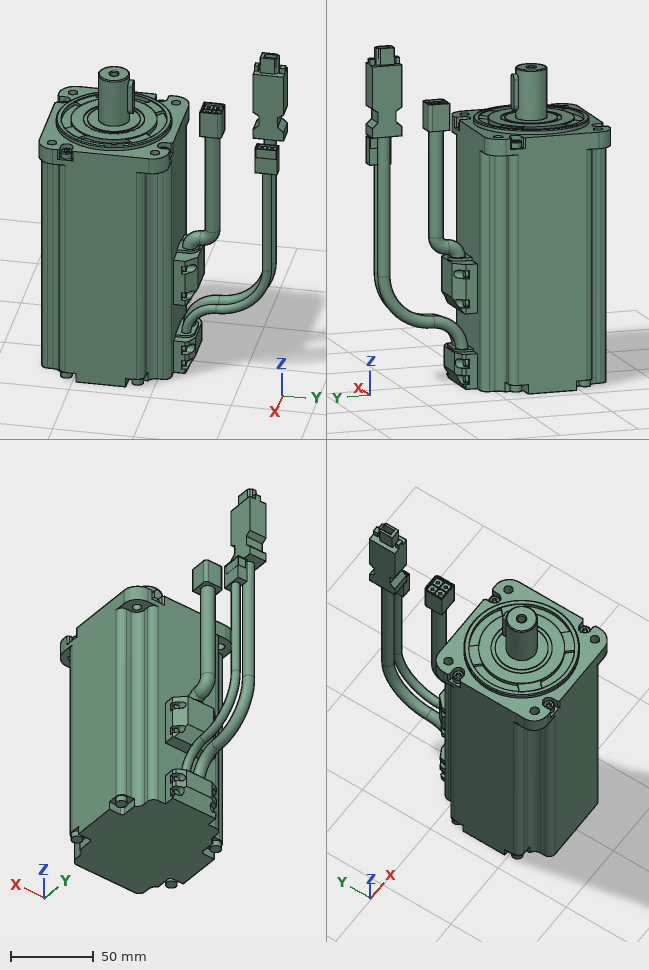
import cadquery as cq

SIDE = 80.0
HALF = SIDE / 2
OVERALL_DEPTH = 145.0
OVERALL_HEIGHT = 213.5
EDGE_CHAMFER = 0.6

BODY_HEIGHT = 149.0
FLANGE_THICKNESS = 10.2
FLANGE_TOP = BODY_HEIGHT + FLANGE_THICKNESS
FLANGE_CORNER_RADIUS = 10.2
NOTCH_FACE = 26.5
NOTCH_MOUTH_RADIUS = 4.5
NOTCH_INNER_RADIUS = 5.8
MOUNT_HOLE_DIAMETER = 5.5
MOUNT_HOLE_OFFSET = 31.8

PILOT_DIAMETER = 70.0
PILOT_HEIGHT = 2.8
PILOT_TOP = FLANGE_TOP + PILOT_HEIGHT
RECESS_OUTER_DIAMETER = 64.0
RECESS_INNER_DIAMETER = 52.0
RECESS_DEPTH = 2.5
RECESS_CORNER_RADIUS = 1.0
PAD_WIDTH = 13.9
PAD_DROP = 0.6
SEAL_OUTER_DIAMETER = 37.0
SEAL_INNER_DIAMETER = 32.0
SEAL_DEPTH = 0.6
SHAFT_DIAMETER = 19.0
SHAFT_TOP = 193.2
SHAFT_HOLE_DIAMETER = 5.0
SHAFT_HOLE_DEPTH = 15.0
KEY_WIDTH = 6.0
KEY_BOTTOM = 167.2
KEY_TOP = 189.5
KEY_OUTER_Y = 12.0

SCREW_HEAD_DIAMETER = 7.0
SCREW_HEAD_HEIGHT = 4.0
SCREW_SOCKET_FLATS = 3.0
SCREW_SOCKET_DEPTH = 2.1
FLANGE_SCREW_ALONG = 22.0
FLANGE_SCREW_OUT = 35.2
FLANGE_POCKET_WIDTH = 7.5
FLANGE_POCKET_DEPTH = 6.6
FLANGE_POCKET_MOUTH_CHAMFER = 1.0
BASE_SCREW_X = 36.0
BASE_SCREW_Y = 22.0
BASE_POCKET_INNER_X = 29.9
BASE_POCKET_INNER_Y = 15.4
BASE_POCKET_HEIGHT = 5.8
BASE_POCKET_RADIUS = 2.0

OUTLET_WIDTH = 32.9
OUTLET_SHOULDER_Y = 47.2
OUTLET_SCREW_X = 13.0
OUTLET_SCREW_SEAT_Y = 45.0
OUTLET_HEAD_DIAMETER = 4.5
GLAND_MARGIN = 1.7

POWER_OUTLET_BOTTOM = 47.0
POWER_OUTLET_TOP = 77.5
POWER_GLAND_HEIGHT = 1.7
POWER_GLAND_TOP = POWER_OUTLET_TOP + POWER_GLAND_HEIGHT
POWER_OUTLET_CORNERS = [(OUTLET_WIDTH / 2, OUTLET_SHOULDER_Y), (9.8, 53.8)]
POWER_FOOT_HEIGHT = 9.0
POWER_FOOT_DEPTH = 5.8
POWER_SCREW_HEIGHTS = (53.0, 71.0)
POWER_POCKET_DIAMETER = 5.0

SIGNAL_OUTLET_TOP = 21.8
SIGNAL_GLAND_HEIGHT = 1.3
SIGNAL_GLAND_TOP = SIGNAL_OUTLET_TOP + SIGNAL_GLAND_HEIGHT
SIGNAL_OUTLET_CORNERS = [(OUTLET_WIDTH / 2, OUTLET_SHOULDER_Y), (15.4, 49.3), (9.6, 52.3)]
SIGNAL_FOOT_HEIGHT = 9.5
SIGNAL_FOOT_DEPTH = 5.1
SIGNAL_SCREW_HEIGHTS = (5.8, 15.8)
SIGNAL_POCKET_DIAMETER = 5.5

ENCODER_BOTTOM = 159.0
ENCODER_SHOULDER = 203.3
ENCODER_LUG_TOP = 206.9
ENCODER_WIDTH = 12.4
ENCODER_DEPTH = 18.8
WAIST_DEPTH = 11.5
WAIST_FLARE_BOTTOM = 165.0
WAIST_BOTTOM = 168.2
WAIST_TOP = 174.6
WAIST_FLARE_TOP = 177.0
LUG_WIDTH = 3.8
FRONT_LUG_DEPTH = 2.3
BACK_LUG_DEPTH = 3.2
TONGUE_WIDTH = 6.8
TONGUE_FRONT = 5.5
TONGUE_BACK = 5.5
TONGUE_CHAMFER = 2.1
TONGUE_CAVITY_WIDTH = 3.8
TONGUE_CAVITY_FRONT = 3.5
TONGUE_CAVITY_BACK = 4.0
CAVITY_DEPTH = 6.5
PLUG_DROP = 1.0
PLUG_GAP = 0.6
PIN_HOLE_DIAMETER = 2.0
POWER_PLUG_BOTTOM = 159.3
POWER_PLUG_TOP = 176.0
POWER_PLUG_SIDE = 13.2
POWER_PLUG_RADIUS = 2.1
POWER_PLUG_WALL = 0.9
BRAKE_PLUG_BOTTOM = 139.2
BRAKE_PLUG_TOP = 155.9
BRAKE_PLUG_WIDTH = 6.6
BRAKE_PLUG_DEPTH = 13.7
BRAKE_PLUG_WALL = 0.6

POWER_CABLE_DIAMETER = 9.0
POWER_ENTRY_Y = 46.8
POWER_ENTRY_Z = (POWER_OUTLET_TOP + POWER_GLAND_TOP) / 2
POWER_BEND = 7.0
POWER_CABLE_Y = POWER_ENTRY_Y + 2 * POWER_BEND
ENCODER_CABLE_DIAMETER = 7.5
ENCODER_CABLE_X = -4.3
BRAKE_CABLE_DIAMETER = 5.5
BRAKE_CABLE_X = 5.5
SIGNAL_ENTRY_Y = 45.7
SIGNAL_ENTRY_BEND = 18.8
SIGNAL_CABLE_Y = OVERALL_DEPTH - HALF - ENCODER_DEPTH / 2


def box(x0, x1, y0, y1, z0, z1):
    """Box between two opposite corners."""
    return cq.Workplane("XY").box(x1 - x0, y1 - y0, z1 - z0, centered=False).translate((x0, y0, z0))


def cylinder(diameter, z0, z1, x=0.0, y=0.0):
    """Vertical cylinder between two heights."""
    return cq.Workplane("XY", origin=(x, y, z0)).circle(diameter / 2).extrude(z1 - z0)


def ring(outer, inner, z0, z1):
    """Upright tube on the motor axis."""
    return cylinder(outer, z0, z1).cut(cylinder(inner, z0, z1))


def quarter_turns(shape, start=0):
    """Four copies of a shape around the motor axis."""
    return [shape.rotate((0, 0, 0), (0, 0, 1), start + 90 * turn) for turn in range(4)]


def corner_notch():
    """Notch along the +X +Y body corner, with a rounded inside corner and rounded mouths."""
    mouth = HALF - NOTCH_MOUTH_RADIUS
    corner = NOTCH_FACE + NOTCH_INNER_RADIUS
    clear = SIDE
    return (
        cq.Workplane("XY")
        .moveTo(HALF, NOTCH_FACE - NOTCH_MOUTH_RADIUS)
        .radiusArc((mouth, NOTCH_FACE), -NOTCH_MOUTH_RADIUS)
        .lineTo(corner, NOTCH_FACE)
        .radiusArc((NOTCH_FACE, corner), NOTCH_INNER_RADIUS)
        .lineTo(NOTCH_FACE, mouth)
        .radiusArc((NOTCH_FACE - NOTCH_MOUTH_RADIUS, HALF), -NOTCH_MOUTH_RADIUS)
        .lineTo(NOTCH_FACE - NOTCH_MOUTH_RADIUS, clear)
        .lineTo(clear, clear)
        .lineTo(clear, NOTCH_FACE - NOTCH_MOUTH_RADIUS)
        .close()
        .extrude(BODY_HEIGHT)
    )


def housing():
    """Square body with notched corners under a flange with four mounting holes."""
    body = box(-HALF, HALF, -HALF, HALF, 0, BODY_HEIGHT)
    for notch in quarter_turns(corner_notch()):
        body = body.cut(notch)
    flange = (
        box(-HALF, HALF, -HALF, HALF, BODY_HEIGHT, FLANGE_TOP)
        .edges("|Z").fillet(FLANGE_CORNER_RADIUS)
        .faces(">Z").workplane(origin=(0, 0, FLANGE_TOP))
        .rect(2 * MOUNT_HOLE_OFFSET, 2 * MOUNT_HOLE_OFFSET, forConstruction=True)
        .vertices().hole(MOUNT_HOLE_DIAMETER)
    )
    return body.union(flange)


def pilot():
    """Centring disc with four arc pockets between lowered pads, and a shallow seal groove."""
    disc = cylinder(PILOT_DIAMETER, FLANGE_TOP, PILOT_TOP).faces(">Z").chamfer(EDGE_CHAMFER)
    seal = ring(SEAL_OUTER_DIAMETER, SEAL_INNER_DIAMETER, PILOT_TOP - SEAL_DEPTH, PILOT_TOP)
    floor = PILOT_TOP - RECESS_DEPTH
    pockets = ring(RECESS_OUTER_DIAMETER, RECESS_INNER_DIAMETER, floor, PILOT_TOP)
    pad = box(0, PILOT_DIAMETER, -PAD_WIDTH / 2, PAD_WIDTH / 2, floor, PILOT_TOP)
    for turned_pad in quarter_turns(pad, start=45):
        pockets = pockets.cut(turned_pad)
    pockets = pockets.edges("|Z").fillet(RECESS_CORNER_RADIUS)
    over_pads = ring(RECESS_OUTER_DIAMETER, RECESS_INNER_DIAMETER, PILOT_TOP - PAD_DROP, PILOT_TOP)
    return disc.cut(seal).cut(pockets).cut(over_pads)


def shaft():
    """Shaft with a round-ended key on the +Y side and a countersunk centre hole."""
    rod = cylinder(SHAFT_DIAMETER, BODY_HEIGHT, SHAFT_TOP).faces(">Z").chamfer(EDGE_CHAMFER)
    key = (
        cq.Workplane("XZ", origin=(0, KEY_OUTER_Y, (KEY_TOP + KEY_BOTTOM) / 2))
        .slot2D(KEY_TOP - KEY_BOTTOM, KEY_WIDTH, 90)
        .extrude(KEY_OUTER_Y)
    )
    hole = cylinder(SHAFT_HOLE_DIAMETER, SHAFT_TOP - SHAFT_HOLE_DEPTH, SHAFT_TOP)
    mouth_radius = SHAFT_HOLE_DIAMETER / 2 + EDGE_CHAMFER
    countersink = (
        cq.Workplane("XY", origin=(0, 0, SHAFT_TOP))
        .circle(mouth_radius)
        .extrude(-EDGE_CHAMFER, taper=45)
    )
    return rod.union(key).cut(hole).cut(countersink)


def add_flange_screws(part):
    """Socket-head screws in pockets open to each flange side, one per quarter turn."""
    x, y = FLANGE_SCREW_ALONG, FLANGE_SCREW_OUT
    floor = FLANGE_TOP - FLANGE_POCKET_DEPTH
    head_top = floor + SCREW_HEAD_HEIGHT
    half_width = FLANGE_POCKET_WIDTH / 2
    half_mouth = half_width + FLANGE_POCKET_MOUTH_CHAMFER
    mouth = (
        cq.Workplane("XY", origin=(x, HALF, floor))
        .polyline([(-half_mouth, 0), (half_mouth, 0), (0, -half_mouth)])
        .close()
        .extrude(FLANGE_POCKET_DEPTH)
    )
    pocket = (
        cylinder(FLANGE_POCKET_WIDTH, floor, FLANGE_TOP, x, y)
        .union(box(x - half_width, x + half_width, y, SIDE, floor, FLANGE_TOP))
        .union(mouth)
    )
    socket = (
        cq.Workplane("XY", origin=(x, y, head_top))
        .polygon(6, SCREW_SOCKET_FLATS, circumscribed=True)
        .extrude(-SCREW_SOCKET_DEPTH)
    )
    head = cylinder(SCREW_HEAD_DIAMETER, floor, head_top, x, y).faces(">Z").chamfer(EDGE_CHAMFER)
    head = head.cut(socket)
    for turned_pocket, turned_head in zip(quarter_turns(pocket), quarter_turns(head)):
        part = part.cut(turned_pocket).union(turned_head)
    return part


def add_base_screws(part):
    """Screw heads hanging in pockets at the foot of the two X sides."""
    pocket = (
        box(BASE_POCKET_INNER_X, SIDE, BASE_POCKET_INNER_Y, HALF, 0, BASE_POCKET_HEIGHT)
        .edges("|Z and <X and <Y").fillet(BASE_POCKET_RADIUS)
    )
    head_bottom = BASE_POCKET_HEIGHT - SCREW_HEAD_HEIGHT
    head = cylinder(SCREW_HEAD_DIAMETER, head_bottom, BASE_POCKET_HEIGHT, BASE_SCREW_X, BASE_SCREW_Y)

    def in_all_corners(shape):
        pair = shape.union(shape.mirror("XZ"))
        return pair.union(pair.mirror("YZ"))

    return part.cut(in_all_corners(pocket)).union(in_all_corners(head))


def outlet(corners, bottom, top, foot_height, foot_depth, screw_heights, pocket_diameter):
    """Outlet box on the back face: bevelled sides and foot, screws in pockets open to both sides."""
    outer_y = corners[-1][1]
    right = [(OUTLET_WIDTH / 2, HALF)] + corners
    left = [(-x, y) for x, y in reversed(right)]
    shell = (
        cq.Workplane("XY", origin=(0, 0, bottom))
        .polyline(right + left).close().extrude(top - bottom)
    )
    foot = (
        cq.Workplane("YZ", origin=(-OUTLET_WIDTH / 2, 0, 0))
        .polyline([(outer_y, bottom), (outer_y, bottom + foot_height), (outer_y - foot_depth, bottom)])
        .close()
        .extrude(OUTLET_WIDTH)
    )
    shell = shell.cut(foot)
    radius = pocket_diameter / 2
    head_height = OUTLET_SHOULDER_Y - OUTLET_SCREW_SEAT_Y
    for z in screw_heights:
        seat = cq.Workplane("XZ", origin=(OUTLET_SCREW_X, OUTLET_SCREW_SEAT_Y, z))
        pocket = seat.circle(radius).extrude(-SIDE).union(
            box(OUTLET_SCREW_X, SIDE, OUTLET_SCREW_SEAT_Y, SIDE, z - radius, z + radius)
        )
        head = seat.circle(OUTLET_HEAD_DIAMETER / 2).extrude(-head_height)
        shell = shell.cut(pocket).cut(pocket.mirror("YZ"))
        shell = shell.union(head).union(head.mirror("YZ"))
    return shell


def gland(cable_diameter, cable_xs, y, z0, z1):
    """Cable seat on top of an outlet: round around the cables, square against the housing."""
    diameter = cable_diameter + 2 * GLAND_MARGIN
    x0, x1 = min(cable_xs), max(cable_xs)
    seat = box(x0 - diameter / 2, x1 + diameter / 2, HALF, y, z0, z1)
    bar = cq.Workplane("XY", origin=((x0 + x1) / 2, y, z0))
    if x1 > x0:
        bar = bar.slot2D(x1 - x0 + diameter, diameter)
    else:
        bar = bar.circle(diameter / 2)
    return seat.union(bar.extrude(z1 - z0))


def cable(diameter, x, entry_y, entry_z, entry_bend, run_y, top):
    """Round cable: up from the outlet, bending outward to horizontal, then up to its connector."""
    level_z = entry_z + entry_bend
    turn_y = entry_y + entry_bend
    run_bend = run_y - turn_y
    path = (
        cq.Workplane("YZ", origin=(x, 0, 0))
        .moveTo(entry_y, entry_z)
        .radiusArc((turn_y, level_z), entry_bend)
        .radiusArc((run_y, level_z + run_bend), -run_bend)
        .lineTo(run_y, top)
    )
    return cq.Workplane("XY", origin=(x, entry_y, entry_z)).circle(diameter / 2).sweep(path)


def pin_connector(x, y, columns, rows, width, depth, z0, z1, wall, back_radius=0.0):
    """Open-topped connector shell with a grid of square plugs, each with a pin hole."""
    floor = z1 - CAVITY_DEPTH
    plug_height = CAVITY_DEPTH - PLUG_DROP
    inner_width = width - 2 * wall
    inner_depth = depth - 2 * wall
    pitch_x = inner_width / columns
    pitch_y = inner_depth / rows

    def block(block_width, block_depth, bottom, height, radius):
        solid = cq.Workplane("XY", origin=(x, y, bottom)).rect(block_width, block_depth).extrude(height)
        return solid.edges("|Z and >Y").fillet(radius) if radius > 0 else solid

    inner_radius = back_radius - wall
    shell = block(width, depth, z0, z1 - z0, back_radius)
    cavity = block(inner_width, inner_depth, floor, CAVITY_DEPTH, inner_radius)
    core = block(inner_width - PLUG_GAP, inner_depth - PLUG_GAP, floor, plug_height, inner_radius)
    grid = cq.Workplane("XY", origin=(x, y, floor)).rarray(pitch_x, pitch_y, columns, rows)
    plugs = grid.rect(pitch_x - PLUG_GAP, pitch_y - PLUG_GAP).extrude(plug_height).intersect(core)
    holes = grid.circle(PIN_HOLE_DIAMETER / 2).extrude(plug_height)
    return shell.cut(cavity).union(plugs).cut(holes)


def power_connector():
    """Four-pin connector with its two back corners rounded."""
    return pin_connector(0, POWER_CABLE_Y, 2, 2, POWER_PLUG_SIDE, POWER_PLUG_SIDE,
                         POWER_PLUG_BOTTOM, POWER_PLUG_TOP, POWER_PLUG_WALL, POWER_PLUG_RADIUS)


def brake_connector():
    """Two-pin connector beside the encoder connector."""
    return pin_connector(BRAKE_CABLE_X, SIGNAL_CABLE_Y, 1, 2, BRAKE_PLUG_WIDTH, BRAKE_PLUG_DEPTH,
                         BRAKE_PLUG_BOTTOM, BRAKE_PLUG_TOP, BRAKE_PLUG_WALL)


def encoder_connector():
    """Waisted plug with a hollow tongue between two latch lugs."""
    x, y = ENCODER_CABLE_X, SIGNAL_CABLE_Y
    half = ENCODER_DEPTH / 2
    waist = WAIST_DEPTH / 2
    back = [
        (half, ENCODER_BOTTOM), (half, WAIST_FLARE_BOTTOM), (waist, WAIST_BOTTOM),
        (waist, WAIST_TOP), (half, WAIST_FLARE_TOP), (half, ENCODER_SHOULDER),
    ]
    front = [(-offset, z) for offset, z in reversed(back)]
    body = (
        cq.Workplane("YZ", origin=(x - ENCODER_WIDTH / 2, y, 0))
        .polyline(back + front).close().extrude(ENCODER_WIDTH)
    )

    def upright(width, y0, y1, z0, z1):
        return box(x - width / 2, x + width / 2, y + y0, y + y1, z0, z1)

    front_lug = upright(LUG_WIDTH, -half, FRONT_LUG_DEPTH - half, ENCODER_SHOULDER, ENCODER_LUG_TOP)
    back_lug = upright(LUG_WIDTH, half - BACK_LUG_DEPTH, half, ENCODER_SHOULDER, ENCODER_LUG_TOP)
    tongue = (
        upright(TONGUE_WIDTH, -TONGUE_FRONT, TONGUE_BACK, ENCODER_SHOULDER, OVERALL_HEIGHT)
        .edges("|Z and >Y").chamfer(TONGUE_CHAMFER)
    )
    cavity = upright(TONGUE_CAVITY_WIDTH, -TONGUE_CAVITY_FRONT, TONGUE_CAVITY_BACK,
                     OVERALL_HEIGHT - CAVITY_DEPTH, OVERALL_HEIGHT)
    return body.union(front_lug).union(back_lug).union(tongue.cut(cavity))


motor = add_base_screws(add_flange_screws(housing().union(pilot()).union(shaft())))

attachments = [
    outlet(POWER_OUTLET_CORNERS, POWER_OUTLET_BOTTOM, POWER_OUTLET_TOP, POWER_FOOT_HEIGHT,
           POWER_FOOT_DEPTH, POWER_SCREW_HEIGHTS, POWER_POCKET_DIAMETER),
    gland(POWER_CABLE_DIAMETER, [0], POWER_ENTRY_Y, POWER_OUTLET_TOP, POWER_GLAND_TOP),
    cable(POWER_CABLE_DIAMETER, 0, POWER_ENTRY_Y, POWER_ENTRY_Z, POWER_BEND,
          POWER_CABLE_Y, POWER_PLUG_BOTTOM),
    power_connector(),
    outlet(SIGNAL_OUTLET_CORNERS, 0, SIGNAL_OUTLET_TOP, SIGNAL_FOOT_HEIGHT,
           SIGNAL_FOOT_DEPTH, SIGNAL_SCREW_HEIGHTS, SIGNAL_POCKET_DIAMETER),
    gland(ENCODER_CABLE_DIAMETER, [ENCODER_CABLE_X, BRAKE_CABLE_X], SIGNAL_ENTRY_Y,
          SIGNAL_OUTLET_TOP, SIGNAL_GLAND_TOP),
    cable(ENCODER_CABLE_DIAMETER, ENCODER_CABLE_X, SIGNAL_ENTRY_Y, SIGNAL_OUTLET_TOP,
          SIGNAL_ENTRY_BEND, SIGNAL_CABLE_Y, ENCODER_BOTTOM),
    encoder_connector(),
    cable(BRAKE_CABLE_DIAMETER, BRAKE_CABLE_X, SIGNAL_ENTRY_Y, SIGNAL_OUTLET_TOP,
          SIGNAL_ENTRY_BEND, SIGNAL_CABLE_Y, BRAKE_PLUG_BOTTOM),
    brake_connector(),
]

result = motor
for attachment in attachments:
    result = result.union(attachment)